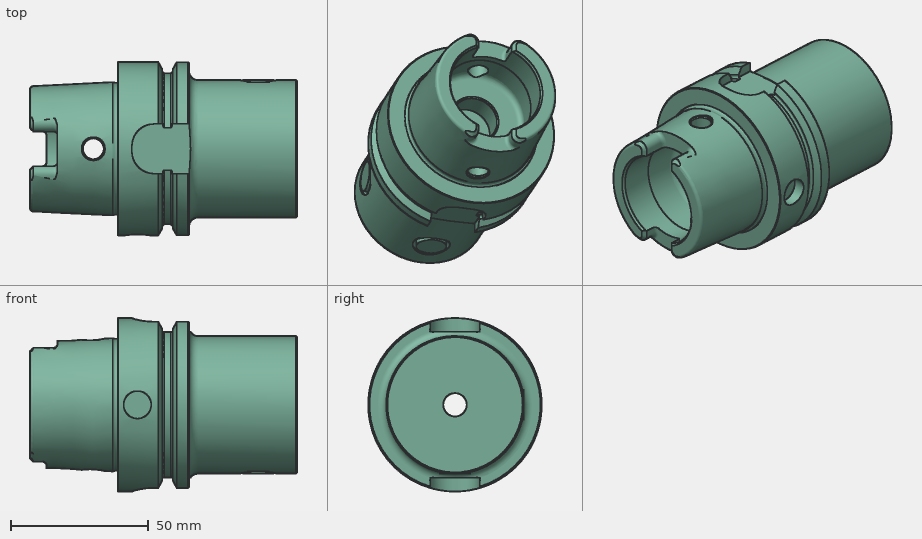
import cadquery as cq
import math


SHANK_LENGTH = 32.0
TAPER_RATIO = 9.98
GAUGE_DIAMETER = 48.0
GAUGE_DISTANCE = 6.3
TAPER_END_X = -2.0
RELIEF_DIAMETER = 47.94
RELIEF_START_X = -1.1
RELIEF_FILLET_START_X = -0.5
RELIEF_FILLET = 1.1
MOUTH_FILLET = 1.25

FLANGE_DIAMETER = 63.0
FLANGE_FACE_X = -0.2
FLANGE_END_X = 25.8
FLANGE_FRONT_CHAMFER = 0.25
FLANGE_REAR_CHAMFER = 0.5
GROOVE_CENTER_X = 17.9
GROOVE_TOP_WIDTH = 6.75
GROOVE_FLOOR_WIDTH = 3.75
GROOVE_FLANK_ANGLE = 60.0
GROOVE_FLOOR_DIAMETER = 55.0
GROOVE_CORNER_RADIUS = 0.7

BODY_DIAMETER = 50.0
BODY_END_X = 64.9
BODY_END_CHAMFER = 0.5
NECK_FILLET = 3.0

MOUTH_BORE_DIAMETER = 34.0
MOUTH_CHAMFER = 0.6
MOUTH_CHAMFER_LENGTH = 1.0
MOUTH_BORE_END_X = -19.0
CAVITY_DIAMETER = 36.0
CAVITY_FLOOR_X = -5.0
CAVITY_FLOOR_DIAMETER = 31.6
THREAD_BORE_DIAMETER = 17.0
THREAD_BORE_CHAMFER = 0.5
THREAD_BORE_DEPTH = 10.0
THROUGH_HOLE_DIAMETER = 8.4

DRIVE_SLOT_WIDTH = 12.5
DRIVE_SLOT_SHOULDER_Z = 20.7
DRIVE_SLOT_SHOULDER_RADIUS = 2.9
DRIVE_SLOT_SHOULDER_SLOPE = 14.0
DRIVE_SLOT_END_FILLET = 1.4
DRIVE_SLOT_MOUTH_CHAMFER = 1.3
UPPER_DRIVE_SLOT_DEPTH = 10.0
LOWER_DRIVE_SLOT_DEPTH = 6.0

CROSS_HOLE_DIAMETER = 7.5
CROSS_HOLE_MOUTH_DIAMETER = 8.5
CROSS_HOLE_X = -9.0

KEY_SLOT_WIDTH = 18.0
KEY_SLOT_FLOOR_Z = 26.4
KEY_SLOT_START_X = 5.0
KEY_SLOT_CORNER_RADIUS = 8.0

CHIP_HOLE_DIAMETER = 10.0
CHIP_HOLE_X = 7.0
CHIP_HOLE_DEPTH = 4.5

SCREW_X = 50.8
SCREW_DIAMETER = 11.0
SCREW_LENGTH = 10.0
SCREW_MOUTH_DIAMETER = 13.6
SCREW_ANGLES = (-90, 180)

shank_end_x = -SHANK_LENGTH
flange_radius = FLANGE_DIAMETER / 2
body_radius = BODY_DIAMETER / 2
arc_midpoint = 1 - math.sqrt(0.5)


def taper_radius(x):
    return GAUGE_DIAMETER / 2 + (x + GAUGE_DISTANCE) / (2 * TAPER_RATIO)


def turned(shape, angle):
    return shape.rotate((0, 0, 0), (1, 0, 0), angle)


def make_turned_blank():
    mouth_rim_radius = taper_radius(shank_end_x + MOUTH_FILLET)
    relief_radius = RELIEF_DIAMETER / 2
    recess_radius = relief_radius + RELIEF_FILLET
    recess_floor_x = RELIEF_FILLET_START_X + RELIEF_FILLET
    groove_floor_radius = GROOVE_FLOOR_DIAMETER / 2
    flank_run = (GROOVE_TOP_WIDTH - GROOVE_FLOOR_WIDTH) / 2
    flank_foot_radius = flange_radius - flank_run * math.tan(math.radians(GROOVE_FLANK_ANGLE))
    groove_left_x = GROOVE_CENTER_X - GROOVE_FLOOR_WIDTH / 2
    groove_right_x = GROOVE_CENTER_X + GROOVE_FLOOR_WIDTH / 2
    corner = GROOVE_CORNER_RADIUS
    corner_mid = corner * arc_midpoint
    return (
        cq.Workplane("XY")
        .moveTo(shank_end_x, 0)
        .lineTo(shank_end_x, mouth_rim_radius - MOUTH_FILLET)
        .threePointArc(
            (shank_end_x + MOUTH_FILLET * arc_midpoint, mouth_rim_radius - MOUTH_FILLET * arc_midpoint),
            (shank_end_x + MOUTH_FILLET, mouth_rim_radius),
        )
        .lineTo(TAPER_END_X, taper_radius(TAPER_END_X))
        .lineTo(RELIEF_START_X, relief_radius)
        .lineTo(RELIEF_FILLET_START_X, relief_radius)
        .threePointArc(
            (recess_floor_x - RELIEF_FILLET * arc_midpoint, relief_radius + RELIEF_FILLET * arc_midpoint),
            (recess_floor_x, recess_radius),
        )
        .lineTo(FLANGE_FACE_X, recess_radius)
        .lineTo(FLANGE_FACE_X, flange_radius - FLANGE_FRONT_CHAMFER)
        .lineTo(FLANGE_FACE_X + FLANGE_FRONT_CHAMFER, flange_radius)
        .lineTo(groove_left_x - flank_run, flange_radius)
        .lineTo(groove_left_x, flank_foot_radius)
        .lineTo(groove_left_x, groove_floor_radius + corner)
        .threePointArc(
            (groove_left_x + corner_mid, groove_floor_radius + corner_mid),
            (groove_left_x + corner, groove_floor_radius),
        )
        .lineTo(groove_right_x - corner, groove_floor_radius)
        .threePointArc(
            (groove_right_x - corner_mid, groove_floor_radius + corner_mid),
            (groove_right_x, groove_floor_radius + corner),
        )
        .lineTo(groove_right_x, flank_foot_radius)
        .lineTo(groove_right_x + flank_run, flange_radius)
        .lineTo(FLANGE_END_X - FLANGE_REAR_CHAMFER, flange_radius)
        .lineTo(FLANGE_END_X, flange_radius - FLANGE_REAR_CHAMFER)
        .lineTo(FLANGE_END_X, body_radius + NECK_FILLET)
        .threePointArc(
            (FLANGE_END_X + NECK_FILLET * arc_midpoint, body_radius + NECK_FILLET * arc_midpoint),
            (FLANGE_END_X + NECK_FILLET, body_radius),
        )
        .lineTo(BODY_END_X - BODY_END_CHAMFER, body_radius)
        .lineTo(BODY_END_X, body_radius - BODY_END_CHAMFER)
        .lineTo(BODY_END_X, 0)
        .close()
        .revolve(360, (0, 0, 0), (1, 0, 0))
    )


def make_bore():
    mouth_radius = MOUTH_BORE_DIAMETER / 2
    cavity_radius = CAVITY_DIAMETER / 2
    thread_radius = THREAD_BORE_DIAMETER / 2
    through_radius = THROUGH_HOLE_DIAMETER / 2
    floor_fillet = cavity_radius - CAVITY_FLOOR_DIAMETER / 2
    floor_fillet_mid = floor_fillet * arc_midpoint
    thread_floor_x = CAVITY_FLOOR_X + THREAD_BORE_DEPTH
    return (
        cq.Workplane("XY")
        .moveTo(shank_end_x, 0)
        .lineTo(shank_end_x, mouth_radius + MOUTH_CHAMFER)
        .lineTo(shank_end_x + MOUTH_CHAMFER_LENGTH, mouth_radius)
        .lineTo(MOUTH_BORE_END_X, mouth_radius)
        .lineTo(MOUTH_BORE_END_X, cavity_radius)
        .lineTo(CAVITY_FLOOR_X - floor_fillet, cavity_radius)
        .threePointArc(
            (CAVITY_FLOOR_X - floor_fillet_mid, cavity_radius - floor_fillet_mid),
            (CAVITY_FLOOR_X, cavity_radius - floor_fillet),
        )
        .lineTo(CAVITY_FLOOR_X, thread_radius + THREAD_BORE_CHAMFER)
        .lineTo(CAVITY_FLOOR_X + THREAD_BORE_CHAMFER, thread_radius)
        .lineTo(thread_floor_x, thread_radius)
        .lineTo(thread_floor_x, through_radius)
        .lineTo(BODY_END_X, through_radius)
        .lineTo(BODY_END_X, 0)
        .close()
        .revolve(360, (0, 0, 0), (1, 0, 0))
    )


def drive_slot_outline(x, growth):
    """Slot outline whose walls round outward into gently falling shoulders, grown by an offset."""
    half_width = DRIVE_SLOT_WIDTH / 2 + growth
    radius = DRIVE_SLOT_SHOULDER_RADIUS - growth
    center_y = half_width + radius
    center_z = DRIVE_SLOT_SHOULDER_Z - DRIVE_SLOT_SHOULDER_RADIUS
    slope = math.radians(DRIVE_SLOT_SHOULDER_SLOPE)
    mid_angle = (math.pi / 2 + slope) / 2
    arc_mid = (center_y - radius * math.cos(mid_angle), center_z + radius * math.sin(mid_angle))
    arc_end = (center_y + radius * math.sin(slope), center_z + radius * math.cos(slope))
    shoulder_outer = (flange_radius, arc_end[1] - (flange_radius - arc_end[0]) * math.tan(slope))

    def mirrored(point):
        return (-point[0], point[1])

    return (
        cq.Workplane("YZ", origin=(x, 0, 0))
        .moveTo(-half_width, 0)
        .lineTo(half_width, 0)
        .lineTo(half_width, center_z)
        .threePointArc(arc_mid, arc_end)
        .lineTo(*shoulder_outer)
        .lineTo(flange_radius, flange_radius)
        .lineTo(-flange_radius, flange_radius)
        .lineTo(*mirrored(shoulder_outer))
        .lineTo(*mirrored(arc_end))
        .threePointArc(mirrored(arc_mid), (-half_width, center_z))
        .close()
    )


def make_drive_slot(depth):
    """Slot on the +Z side with a rounded end and a chamfered mouth."""
    slot = (
        drive_slot_outline(shank_end_x, 0)
        .extrude(depth)
        .faces(">X")
        .edges()
        .fillet(DRIVE_SLOT_END_FILLET)
    )
    mouth_outline = drive_slot_outline(shank_end_x, DRIVE_SLOT_MOUTH_CHAMFER).val()
    inner_outline = drive_slot_outline(shank_end_x + DRIVE_SLOT_MOUTH_CHAMFER, 0).val()
    return slot.union(cq.Solid.makeLoft([mouth_outline, inner_outline], True))


def make_key_slot():
    """Slot on the +Z side of the flange: rounded at the taper end, open at the body end."""
    slot_end_x = FLANGE_END_X + NECK_FILLET
    return (
        cq.Workplane("XY", origin=(0, 0, KEY_SLOT_FLOOR_Z))
        .moveTo(KEY_SLOT_START_X, -KEY_SLOT_WIDTH / 2)
        .lineTo(slot_end_x, -KEY_SLOT_WIDTH / 2)
        .lineTo(slot_end_x, KEY_SLOT_WIDTH / 2)
        .lineTo(KEY_SLOT_START_X, KEY_SLOT_WIDTH / 2)
        .close()
        .extrude(flange_radius)
        .edges("<X and |Z")
        .fillet(KEY_SLOT_CORNER_RADIUS)
    )


def make_countersink(x, surface_radius, hole_diameter, mouth_diameter):
    """Cone along +Z that breaks the edge of a radial hole."""
    hole_radius = hole_diameter / 2
    mouth_radius = mouth_diameter / 2
    mouth_z = math.sqrt(surface_radius**2 - mouth_radius**2)
    depth = mouth_radius - hole_radius
    return (
        cq.Workplane("XZ", origin=(x, 0, 0))
        .moveTo(0, mouth_z - depth)
        .lineTo(hole_radius, mouth_z - depth)
        .lineTo(mouth_radius, mouth_z)
        .lineTo(mouth_radius, flange_radius)
        .lineTo(0, flange_radius)
        .close()
        .revolve(360, (0, 0, 0), (0, 1, 0))
    )


def make_cross_hole():
    hole = (
        cq.Workplane("XY", origin=(CROSS_HOLE_X, 0, -body_radius))
        .circle(CROSS_HOLE_DIAMETER / 2)
        .extrude(2 * body_radius)
    )
    countersink = make_countersink(
        CROSS_HOLE_X, taper_radius(CROSS_HOLE_X), CROSS_HOLE_DIAMETER, CROSS_HOLE_MOUTH_DIAMETER
    )
    for angle in (0, 180):
        hole = hole.union(turned(countersink, angle))
    return hole


def make_chip_hole():
    return (
        cq.Workplane("XZ", origin=(CHIP_HOLE_X, CHIP_HOLE_DEPTH - flange_radius, 0))
        .circle(CHIP_HOLE_DIAMETER / 2)
        .extrude(flange_radius)
    )


def make_screw():
    """Radial screw along +Z with its flat top level with the crown of the body."""
    return (
        cq.Workplane("XY", origin=(SCREW_X, 0, body_radius - SCREW_LENGTH))
        .circle(SCREW_DIAMETER / 2)
        .extrude(SCREW_LENGTH)
    )


holder = make_turned_blank()
holder = holder.cut(make_drive_slot(UPPER_DRIVE_SLOT_DEPTH))
holder = holder.cut(turned(make_drive_slot(LOWER_DRIVE_SLOT_DEPTH), 180))
holder = holder.cut(make_bore())
holder = holder.cut(make_cross_hole()).cut(make_chip_hole())
for angle in (0, 180):
    holder = holder.cut(turned(make_key_slot(), angle))

screw_countersink = make_countersink(SCREW_X, body_radius, SCREW_DIAMETER, SCREW_MOUTH_DIAMETER)
screws = []
for angle in SCREW_ANGLES:
    screw = turned(make_screw(), angle)
    holder = holder.cut(screw).cut(turned(screw_countersink, angle))
    screws.append(screw)

result = cq.Compound.makeCompound([holder.val(), *[screw.val() for screw in screws]])